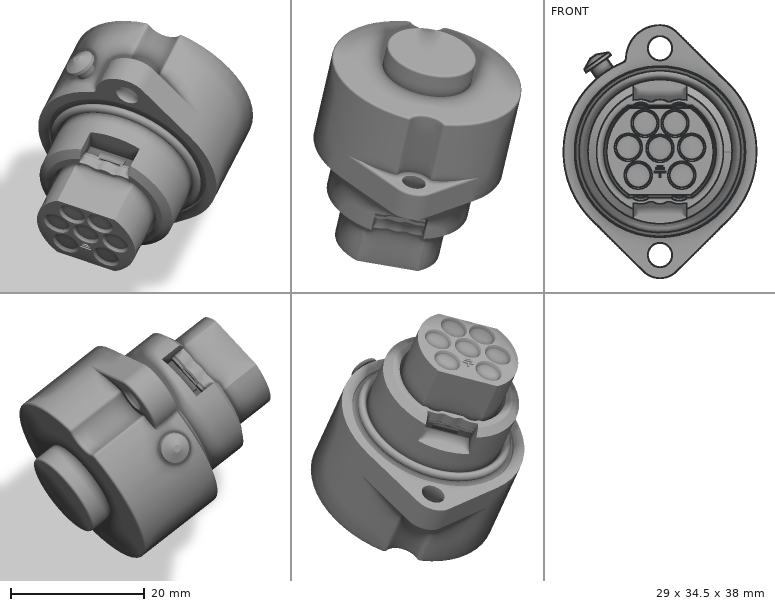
import cadquery as cq
import math


body_radius = 29.0 / 2
body_back = 14.5
edge_round = 0.35
boss_radius = 13.6 / 2
boss_back = 18.2
lug_back = 4.4
lug_tip = 19.0
lug_radius = 3.5
wide_lug_radius = 5.13
lug_root_fillet = 0.85
mount_hole_diameter = 3.6
mount_hole_z = lug_tip - lug_radius
screw_clearance_radius = 2.9
screw_clearance_fillet = 0.57

barrel_radius = 21.6 / 2
barrel_front = -9.05
barrel_chamfer_length = 0.8
barrel_chamfer_depth = 1.3

seal_outer_radius = 24.28 / 2
seal_section_radius = (seal_outer_radius - barrel_radius) / 2
seal_center_radius = (seal_outer_radius + barrel_radius) / 2
seal_groove_radius = 25.7 / 2
seal_groove_depth = 0.3
seal_groove_draft = 0.15
seal_front = -1.25
seal_center_y = seal_front + seal_section_radius

button_angle = 125.0
button_y = 4.15
button_stem_radius = 3.0 / 2
button_rim_radius = 4.6 / 2
button_shoulder_radius = 4.5 / 2
button_tip_radius = 1.15 / 2
button_root = 13.68
button_underside = 16.07
button_shoulder = 16.65
button_top = 17.45

insert_radius = 7.98
insert_flat_z = 12.95 / 2
insert_front = -16.05
insert_back = lug_back
lead_in = 0.45
lead_in_depth = 1.52

socket_radius = 3.6 / 2
socket_mouth_radius = 4.18 / 2
socket_depth = 0.45
center_socket = (0, 0.5)
paired_sockets = [(2.25, 4.25), (4.75, 0.65), (3.25, -3.55)]
socket_places = [center_socket] + [(side * x, z) for x, z in paired_sockets for side in (-1, 1)]

mark_height = 0.2
mark_line = 0.2
mark_bars = [(0.75, -2.2), (1.2, -2.55), (1.7, -3.05)]
mark_stem_bottom = -3.85

pocket_half_width = 4.008
pocket_back = -4.8
wave_side_x = 3.57
wave_side_z = 7.75
outer_crest = (2.65, 7.83)
crest_end = (1.8, 7.6)
trough = (1.33, 7.5)
trough_end = (0.9, 7.6)
center_crest = (0, 7.83)
ridge_back = -6.8
ridge_front = -7.1
wall_back = -7.37
ridge_drop = 0.25
ridge_notch_top = 4.03
ridge_notch_bottom = 3.05
ridge_notch_z = 7.0
scallop_x = 2.9
scallop_z = 5.6
scallop_radius = 3.6 / 2
scallop_floor_radius = 1.33
scallop_depth = 1.15

latch_width = 4.03
latch_back = -5.0
latch_ramp_front = -6.0
latch_front = -6.6
latch_height = 0.5


def section(y):
    """Sketch plane across the axis at the given Y; extrusions run toward -Y."""
    return cq.Workplane("XZ", origin=(0, y, 0))


def revolved(profile):
    """Solid of revolution about the Y axis from (radius, y) points."""
    return cq.Workplane("XY").polyline(profile).close().revolve(360, (0, 0, 0), (0, 1, 0))


def cone(x, z, y_front, front_radius, back_radius, depth):
    """Tapered round plug whose larger end faces -Y."""
    return cq.Workplane(
        cq.Solid.makeCone(front_radius, back_radius, depth, cq.Vector(x, y_front, z), cq.Vector(0, 1, 0))
    )


def above_and_below(shape):
    """The shape together with its mirror image below the axis."""
    return [shape, shape.mirror("XY")]


def mirrored(point):
    """The (x, z) point on the other side of the axis."""
    return (-point[0], point[1])


def double_d(plane, radius, flat_z):
    """Circle cut by two horizontal flats."""
    half_chord = math.sqrt(radius**2 - flat_z**2)
    return (
        plane.moveTo(-half_chord, flat_z)
        .lineTo(half_chord, flat_z)
        .threePointArc((radius, 0), (half_chord, -flat_z))
        .lineTo(-half_chord, -flat_z)
        .threePointArc((-radius, 0), (-half_chord, flat_z))
        .close()
    )



def make_flange():
    """Lug plate: 45 degree tangents everywhere except the wide lug at the upper left."""
    diagonal = math.sqrt(0.5)
    body_tangent = body_radius * diagonal
    lug_tangent_x = lug_radius * diagonal
    lug_tangent_z = mount_hole_z + lug_radius * diagonal

    wide_lug_z = lug_tip - wide_lug_radius
    reach_body = body_radius + lug_root_fillet
    reach_lug = wide_lug_radius + lug_root_fillet
    fillet_z = (reach_body**2 - reach_lug**2 + wide_lug_z**2) / (2 * wide_lug_z)
    fillet_x = -math.sqrt(reach_body**2 - fillet_z**2)
    lug_share = wide_lug_radius / reach_lug
    lug_touch = (fillet_x * lug_share, wide_lug_z + (fillet_z - wide_lug_z) * lug_share)
    body_touch = (fillet_x * body_radius / reach_body, fillet_z * body_radius / reach_body)
    to_corner = math.hypot(fillet_x, fillet_z - wide_lug_z / 2)
    fillet_middle = (
        fillet_x - fillet_x / to_corner * lug_root_fillet,
        fillet_z - (fillet_z - wide_lug_z / 2) / to_corner * lug_root_fillet,
    )
    wide_lug_middle = (-wide_lug_radius * diagonal, wide_lug_z + wide_lug_radius * diagonal)

    plate = (
        section(lug_back)
        .moveTo(body_tangent, body_tangent)
        .lineTo(lug_tangent_x, lug_tangent_z)
        .threePointArc(
            (lug_radius * math.sin(math.pi / 8), mount_hole_z + lug_radius * math.cos(math.pi / 8)),
            (0, lug_tip),
        )
        .threePointArc(wide_lug_middle, lug_touch)
        .threePointArc(fillet_middle, body_touch)
        .threePointArc((-body_radius, 0), (-body_tangent, -body_tangent))
        .lineTo(-lug_tangent_x, -lug_tangent_z)
        .threePointArc((0, -lug_tip), (lug_tangent_x, -lug_tangent_z))
        .lineTo(body_tangent, -body_tangent)
        .threePointArc((body_radius, 0), (body_tangent, body_tangent))
        .close()
        .extrude(lug_back)
    )
    return plate.faces(">Y").edges().fillet(edge_round)


def make_body():
    """Round body with a screw clearance groove behind each lug."""
    body = section(body_back).circle(body_radius).extrude(body_back)
    grooves = (
        section(body_back)
        .pushPoints([(0, mount_hole_z), (0, -mount_hole_z)])
        .circle(screw_clearance_radius)
        .extrude(body_back - lug_back)
    )
    body = body.cut(grooves)
    reach = body_radius + 0.38
    for side in (-1, 1):
        groove_side = cq.selectors.BoxSelector(
            (-reach, lug_back, side * reach), (reach, body_back, side * body_radius * 0.9)
        )
        body = body.edges("|Y").edges(groove_side).fillet(screw_clearance_fillet)
    return body.faces(">Y").edges().fillet(edge_round)


def make_boss():
    boss = section(boss_back).circle(boss_radius).extrude(boss_back - lug_back)
    return boss.faces(">Y").edges().fillet(edge_round)


def make_barrel():
    return revolved([
        (0, lug_back),
        (barrel_radius, lug_back),
        (barrel_radius, barrel_front + barrel_chamfer_length),
        (barrel_radius - barrel_chamfer_depth, barrel_front),
        (0, barrel_front),
    ])


def make_button():
    """Mushroom button standing radially on the body."""
    button = revolved([
        (0, button_root),
        (button_stem_radius, button_root),
        (button_stem_radius, button_underside),
        (button_rim_radius, button_underside),
        (button_shoulder_radius, button_shoulder),
        (button_tip_radius, button_top),
        (0, button_top),
    ])
    button = button.rotate((0, 0, 0), (0, 0, 1), -90)
    return button.rotate((0, 0, 0), (0, 1, 0), -button_angle).translate((0, button_y, 0))


def make_seal_groove():
    """Shallow groove in the flange face, around the barrel, behind the seal ring."""
    return revolved([
        (barrel_radius, seal_groove_depth),
        (seal_groove_radius - seal_groove_draft, seal_groove_depth),
        (seal_groove_radius, 0),
        (barrel_radius, 0),
    ])


def make_bore():
    """Close-fitting bore for the insert with a tapered lead-in at its mouth."""
    depth = insert_back - barrel_front
    bore = double_d(section(insert_back), insert_radius, insert_flat_z).extrude(depth)
    mouth = double_d(section(barrel_front + lead_in_depth), insert_radius, insert_flat_z)
    mouth = double_d(mouth.workplane(offset=lead_in_depth), insert_radius + lead_in, insert_flat_z + lead_in)
    return bore.union(mouth.loft(ruled=True))


def wave(plane, drop):
    """Pocket outline whose floor follows the scallops of the bore, lowered by drop."""
    right_arcs = [(trough, crest_end), (outer_crest, (wave_side_x, wave_side_z))]
    left_arcs = [(mirrored(outer_crest), mirrored(crest_end)), (mirrored(trough), mirrored(trough_end))]
    wave_arcs = left_arcs + [(center_crest, trough_end)] + right_arcs
    outline = plane.moveTo(-pocket_half_width, barrel_radius)
    outline = outline.lineTo(-pocket_half_width, wave_side_z - drop)
    outline = outline.lineTo(-wave_side_x, wave_side_z - drop)
    for middle, end in wave_arcs:
        outline = outline.threePointArc((middle[0], middle[1] - drop), (end[0], end[1] - drop))
    outline = outline.lineTo(pocket_half_width, wave_side_z - drop)
    return outline.lineTo(pocket_half_width, barrel_radius).close()


def make_pocket():
    """Upper latch pocket: opens onto the insert flat, with a wavy stepped wall in front."""
    window = (
        section(pocket_back)
        .moveTo(0, (insert_flat_z + barrel_radius) / 2)
        .rect(2 * pocket_half_width, barrel_radius - insert_flat_z)
        .extrude(pocket_back - ridge_back)
    )
    over_ridge = wave(section(ridge_back), ridge_drop).extrude(ridge_back - ridge_front)
    slope = wave(section(ridge_front), ridge_drop)
    slope = wave(slope.workplane(offset=ridge_front - wall_back), 0).loft(ruled=True)
    over_wall = wave(section(wall_back), 0).extrude(wall_back - barrel_front)
    notch = (
        section(ridge_back)
        .polyline([
            (-ridge_notch_bottom / 2, ridge_notch_z),
            (ridge_notch_bottom / 2, ridge_notch_z),
            (ridge_notch_top / 2, wave_side_z),
            (-ridge_notch_top / 2, wave_side_z),
        ])
        .close()
        .extrude(ridge_back - ridge_front)
    )
    return window.union(over_ridge).union(slope).union(over_wall).union(notch)


def make_housing():
    housing = make_flange().union(make_body()).union(make_boss()).union(make_barrel()).union(make_button())
    mount_holes = (
        section(lug_back)
        .pushPoints([(0, mount_hole_z), (0, -mount_hole_z)])
        .circle(mount_hole_diameter / 2)
        .extrude(lug_back)
    )
    housing = housing.cut(mount_holes).cut(make_seal_groove()).cut(make_bore())
    for pocket in above_and_below(make_pocket()):
        housing = housing.cut(pocket)
    for side in (-1, 1):
        scallop = cone(
            side * scallop_x, scallop_z, barrel_front, scallop_radius, scallop_floor_radius, scallop_depth
        )
        for copy in above_and_below(scallop):
            housing = housing.cut(copy)
    return housing.solids()



def make_seal_ring():
    return (
        cq.Workplane("XY")
        .center(seal_center_radius, seal_center_y)
        .circle(seal_section_radius)
        .revolve(360, (-seal_center_radius, 0, 0), (-seal_center_radius, 1, 0))
    )



def make_latch():
    """Upper tooth: ramp rising toward the front, then a short level top."""
    top = insert_flat_z + latch_height
    return (
        cq.Workplane("YZ", origin=(-latch_width / 2, 0, 0))
        .polyline([
            (latch_back, 0),
            (latch_back, insert_flat_z),
            (latch_ramp_front, top),
            (latch_front, top),
            (latch_front, 0),
        ])
        .close()
        .extrude(latch_width)
    )


def make_earth_mark():
    """Three bars and a stem standing on the insert face."""
    face = section(insert_front)
    stem_top = mark_bars[-1][1]
    mark = (
        face.moveTo(0, (stem_top + mark_stem_bottom) / 2)
        .rect(mark_line, stem_top - mark_stem_bottom)
        .extrude(mark_height)
    )
    for width, z in mark_bars:
        mark = mark.union(face.moveTo(0, z).rect(width, mark_line).extrude(mark_height))
    return mark


def make_insert():
    insert = double_d(section(insert_back), insert_radius, insert_flat_z).extrude(insert_back - insert_front)
    for latch in above_and_below(make_latch()):
        insert = insert.union(latch)
    for x, z in socket_places:
        insert = insert.cut(cone(x, z, insert_front, socket_mouth_radius, socket_radius, socket_depth))
    return insert.union(make_earth_mark())


housing = make_housing()
seal_ring = make_seal_ring()
insert = make_insert()

result = cq.Compound.makeCompound([housing.val(), seal_ring.val(), insert.val()])